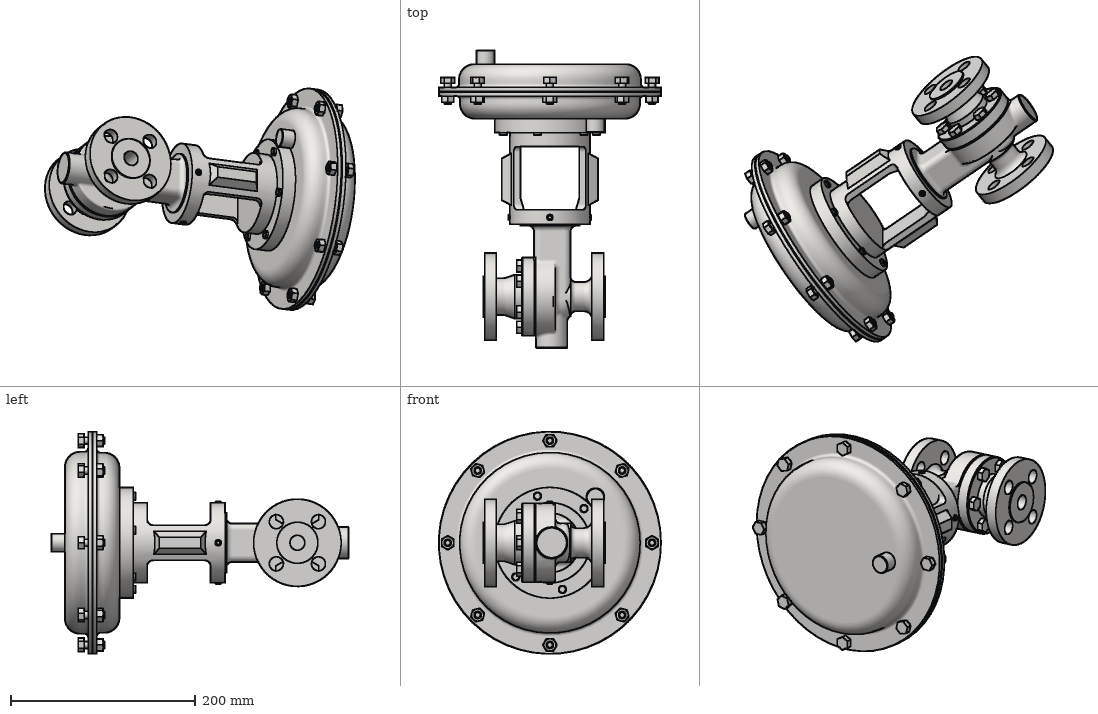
import cadquery as cq
import math


MARGIN = 0.3

STEM_AXIS = (0, 1, 0)
FLOW_AXIS = (1, 0, 0)

STUB_END_Y = -56.0
NECK_TOP_Y = 76.8
YOKE_BOTTOM_Y = 78.5
WINDOW_BOTTOM_Y = 94.3
WINDOW_TOP_Y = 162.7
BASE_BOTTOM_Y = 178.0
CASE_BOTTOM_Y = 192.7
RIM_BOTTOM_Y = 217.3
RIM_TOP_Y = 227.0
CASE_TOP_Y = 252.0
PORT_TOP_Y = 267.0

RIM_DIAMETER = 241.0
RIM_RADIUS = RIM_DIAMETER / 2
RIM_GROOVE_WIDTH = 1.0
RIM_GROOVE_DEPTH = 0.5
UPPER_CASE_RADIUS = 98.8
LOWER_CASE_RADIUS = 97.8
CASE_CORNER = 16.8
CASE_FILLET = 3.5
PORT_DIAMETER = 19.7
PORT_RADIUS = PORT_DIAMETER / 2
PORT_CIRCLE = 69.7
LOWER_PORT_ANGLE = 45
PORT_CHAMFER = 0.5

CASE_BOLTS = 8
CASE_BOLT_CIRCLE = 110.7
HEX_FLATS = 13.2
HEX_SIDES = 6
HEX_HALF_ANGLE = 180 / HEX_SIDES
HEX_CORNERS = HEX_FLATS / math.cos(math.radians(HEX_HALF_ANGLE))
SHANK_RADIUS = 4.0
HEAD_BOTTOM_Y = 231.0
HEAD_TOP_Y = 237.5
NUT_END_Y = 210.5
SHANK_END_Y = 208.5
SHANK_CHAMFER = 1.0
NUT_TRIM_ANGLE = 60

BASE_RADIUS = 60.0
BASE_SCREWS = 6
BASE_SCREW_CIRCLE = 52.3
BASE_SCREW_START_ANGLE = 15
BASE_SCREW_RADIUS = 4.2
BASE_SCREW_HEIGHT = 3.0
BASE_SCREW_CHAMFER = 0.5

YOKE_RADIUS = 43.5
ARM_WIDTH = 38.5
ARM_HALF_WIDTH = ARM_WIDTH / 2
ARM_INNER_X = 31.5
WINDOW_FILLET = 6.0
WINDOW_TAPER_WIDTH = 3.5
WINDOW_TAPER_HEIGHT = 12.3
PAD_ROOT_X = 41.0
PAD_FACE_X = 52.3
PAD_MIDDLE_Y = 127.2
PAD_ROOT_SIZE = (57.5, 25.8)
PAD_FACE_SIZE = (45.2, 12.0)
SET_SCREWS = 4
SET_SCREW_Y = 86.0
SET_SCREW_RADIUS = 3.2
SET_SCREW_REACH = 45.0
SET_SCREW_CHAMFER = 1.0
SOCKET_CORNERS = 4.2
SOCKET_DEPTH = 2.5

NECK_MIN_X = -17.5
NECK_MAX_X = 22.5
NECK_MIDDLE_X = (NECK_MIN_X + NECK_MAX_X) / 2
NECK_HALF_DEPTH = 21.0
NECK_END_CENTER_Y = -4.0
NECK_ROUND = 7.0
NECK_FLARE = 5.8
NECK_COLLAR_RADIUS = 32.3
STUB_X = 2.0
STUB_RADIUS = 17.0
STUB_CHAMFER = 1.0
BODY_RADIUS = 42.5
BODY_MIN_X = -16.8
BODY_MAX_X = 5.8
BODY_ROUND = 2.0
NECK_BLEND = 5.8
STUB_BLEND = 4.0
STUB_JOINT_TOP_Y = -8.0
COVER_MIN_X = -30.5
COVER_CHAMFER = 1.0
COVER_GAP = 1.3
COVER_GAP_DEPTH = 1.0
COVER_BOLTS = 6
COVER_BOLT_CIRCLE = 33.3
COVER_HEAD_HEIGHT = 5.8

FLANGE_RADIUS = 47.5
FACE_RADIUS = 22.3
FACE_HEIGHT = 1.5
INLET_OUTER_X = -70.7
INLET_INNER_X = -58.0
OUTLET_INNER_X = 45.2
OUTLET_OUTER_X = 58.5
INLET_PIPE_DIAMETER = 40.5
INLET_PIPE_RADIUS = INLET_PIPE_DIAMETER / 2
INLET_HUB_RADIUS = 24.0
INLET_BEND_X = -48.7
INLET_BEND_LENGTH = 1.78
INLET_HUB_X = -38.0
OUTLET_PIPE_DIAMETER = 32.0
OUTLET_PIPE_RADIUS = OUTLET_PIPE_DIAMETER / 2
OUTLET_ROOT_RADIUS = 21.3
OUTLET_FLARE = 8.5
OUTLET_BLEND = 5.2
BORE_RADIUS = 8.0
BORE_END_X = 16
FLANGE_HOLES = 4
FLANGE_HOLE_CIRCLE = 32.3
FLANGE_HOLE_START_ANGLE = 45
FLANGE_HOLE_DIAMETER = 15.2
FLANGE_HOLE_RADIUS = FLANGE_HOLE_DIAMETER / 2


def plane_y(x, y, z):
    """Plane facing +Y, with its local x along X."""
    return cq.Workplane(cq.Plane((x, y, z), (1, 0, 0), (0, 1, 0)))


def plane_x(x, y, z):
    """Plane facing +X, with its local x along Y."""
    return cq.Workplane(cq.Plane((x, y, z), (0, 1, 0), (1, 0, 0)))


def rod_y(radius, start, end, x=0, z=0):
    return plane_y(x, start, z).circle(radius).extrude(end - start)


def rod_x(radius, start, end, y=0, z=0):
    return plane_x(start, y, z).circle(radius).extrude(end - start)


def ring_of(solid, count, start_angle, axis):
    """Copies of a solid spread evenly around an axis through the origin."""
    copies = solid.rotate((0, 0, 0), axis, start_angle)
    for i in range(1, count):
        copies = copies.add(solid.rotate((0, 0, 0), axis, start_angle + i * 360 / count))
    return copies.combine()


def diaphragm_case():
    """Two dished shells, revolved as one outline about the stem."""
    outline = (
        cq.Workplane("XY")
        .moveTo(0, CASE_BOTTOM_Y)
        .lineTo(LOWER_CASE_RADIUS - CASE_CORNER, CASE_BOTTOM_Y)
        .radiusArc((LOWER_CASE_RADIUS, CASE_BOTTOM_Y + CASE_CORNER), -CASE_CORNER)
        .lineTo(LOWER_CASE_RADIUS, RIM_BOTTOM_Y - CASE_FILLET)
        .radiusArc((LOWER_CASE_RADIUS + CASE_FILLET, RIM_BOTTOM_Y), CASE_FILLET)
        .lineTo(RIM_RADIUS, RIM_BOTTOM_Y)
        .lineTo(RIM_RADIUS, RIM_TOP_Y)
        .lineTo(UPPER_CASE_RADIUS + CASE_FILLET, RIM_TOP_Y)
        .radiusArc((UPPER_CASE_RADIUS, RIM_TOP_Y + CASE_FILLET), CASE_FILLET)
        .lineTo(UPPER_CASE_RADIUS, CASE_TOP_Y - CASE_CORNER)
        .radiusArc((UPPER_CASE_RADIUS - CASE_CORNER, CASE_TOP_Y), -CASE_CORNER)
        .lineTo(0, CASE_TOP_Y)
        .close()
    )
    case = outline.revolve(360, (0, 0, 0), STEM_AXIS)

    groove_bottom = (RIM_BOTTOM_Y + RIM_TOP_Y - RIM_GROOVE_WIDTH) / 2
    groove = (
        plane_y(0, groove_bottom, 0)
        .circle(2 * RIM_RADIUS)
        .circle(RIM_RADIUS - RIM_GROOVE_DEPTH)
        .extrude(RIM_GROOVE_WIDTH)
    )
    return case.cut(groove)


def case_ports():
    """Air connections: one on the upper shell, one on the lower shell."""
    middle = (RIM_BOTTOM_Y + RIM_TOP_Y) / 2
    lower_x = PORT_CIRCLE * math.cos(math.radians(LOWER_PORT_ANGLE))
    lower_z = PORT_CIRCLE * math.sin(math.radians(LOWER_PORT_ANGLE))
    upper = rod_y(PORT_RADIUS, middle, PORT_TOP_Y, x=-PORT_CIRCLE)
    upper = upper.faces(">Y").chamfer(PORT_CHAMFER)
    lower = rod_y(PORT_RADIUS, BASE_BOTTOM_Y, middle, x=lower_x, z=lower_z)
    lower = lower.faces("<Y").chamfer(PORT_CHAMFER)
    return upper.union(lower)


def case_bolts():
    """Bolts through the rim: heads point a corner outward, nuts point a flat outward."""
    shank = rod_y(SHANK_RADIUS, SHANK_END_Y, HEAD_BOTTOM_Y, x=CASE_BOLT_CIRCLE)
    shank = shank.faces("<Y").chamfer(SHANK_CHAMFER)
    head = (
        plane_y(CASE_BOLT_CIRCLE, HEAD_BOTTOM_Y, 0)
        .polygon(HEX_SIDES, HEX_CORNERS)
        .extrude(HEAD_TOP_Y - HEAD_BOTTOM_Y)
    )
    nut_height = RIM_BOTTOM_Y - NUT_END_Y
    nut = (
        plane_y(CASE_BOLT_CIRCLE, NUT_END_Y, 0)
        .transformed(rotate=(0, 0, HEX_HALF_ANGLE))
        .polygon(HEX_SIDES, HEX_CORNERS)
        .extrude(nut_height)
    )
    cone = (
        plane_y(CASE_BOLT_CIRCLE, NUT_END_Y, 0)
        .circle(HEX_FLATS / 2)
        .extrude(nut_height, taper=-NUT_TRIM_ANGLE)
    )
    bolt = shank.union(head).union(nut.intersect(cone))
    return ring_of(bolt, CASE_BOLTS, 0, STEM_AXIS)


def actuator_base():
    """Round base under the case with a circle of screw tips."""
    base = rod_y(BASE_RADIUS, BASE_BOTTOM_Y, CASE_BOTTOM_Y)
    tip_y = BASE_BOTTOM_Y - BASE_SCREW_HEIGHT
    screw = rod_y(BASE_SCREW_RADIUS, tip_y, CASE_BOTTOM_Y, x=BASE_SCREW_CIRCLE)
    screw = screw.faces("<Y").chamfer(BASE_SCREW_CHAMFER)
    return base.union(ring_of(screw, BASE_SCREWS, BASE_SCREW_START_ANGLE, STEM_AXIS))


def yoke():
    """Round yoke opened into two arms, each with a tapered pad on its outside."""
    body = rod_y(YOKE_RADIUS, YOKE_BOTTOM_Y, BASE_BOTTOM_Y)
    window_height = WINDOW_TOP_Y - WINDOW_BOTTOM_Y
    window_middle = (WINDOW_TOP_Y + WINDOW_BOTTOM_Y) / 2
    span = 2 * YOKE_RADIUS

    for side in (-1, 1):
        relief = (
            cq.Workplane("XY")
            .box(2 * span, window_height, span)
            .edges("|X and " + ("<Z" if side > 0 else ">Z"))
            .fillet(WINDOW_FILLET)
            .translate((0, window_middle, side * (ARM_HALF_WIDTH + span / 2)))
        )
        body = body.cut(relief)

    bottom_half = ARM_INNER_X - WINDOW_TAPER_WIDTH
    opening = (
        cq.Workplane("XY")
        .polyline(
            [
                (-bottom_half, WINDOW_BOTTOM_Y),
                (bottom_half, WINDOW_BOTTOM_Y),
                (ARM_INNER_X, WINDOW_BOTTOM_Y + WINDOW_TAPER_HEIGHT),
                (ARM_INNER_X, WINDOW_TOP_Y),
                (-ARM_INNER_X, WINDOW_TOP_Y),
                (-ARM_INNER_X, WINDOW_BOTTOM_Y + WINDOW_TAPER_HEIGHT),
            ]
        )
        .close()
        .extrude(YOKE_RADIUS, both=True)
    )
    body = body.cut(opening)

    pad = (
        plane_x(PAD_ROOT_X, PAD_MIDDLE_Y, 0)
        .rect(*PAD_ROOT_SIZE)
        .workplane(offset=PAD_FACE_X - PAD_ROOT_X)
        .rect(*PAD_FACE_SIZE)
        .loft(ruled=True)
    )
    return body.union(pad).union(pad.mirror("YZ"))


def set_screws():
    """Socket screws around the lower ring of the yoke, and the sockets to cut from them."""
    screw = rod_x(SET_SCREW_RADIUS, YOKE_RADIUS / 2, SET_SCREW_REACH, y=SET_SCREW_Y)
    screw = screw.faces(">X").chamfer(SET_SCREW_CHAMFER)
    socket = (
        plane_x(SET_SCREW_REACH - SOCKET_DEPTH, SET_SCREW_Y, 0)
        .polygon(HEX_SIDES, SOCKET_CORNERS)
        .extrude(SOCKET_DEPTH)
    )
    return ring_of(screw, SET_SCREWS, 0, STEM_AXIS), ring_of(socket, SET_SCREWS, 0, STEM_AXIS)


def neck_collar():
    """Flared top of the neck, trimmed to a round collar."""
    width = NECK_MAX_X - NECK_MIN_X
    plate = (
        plane_y(0, NECK_TOP_Y, 0)
        .rect(4 * NECK_COLLAR_RADIUS, 4 * NECK_COLLAR_RADIUS)
        .extrude(YOKE_BOTTOM_Y - NECK_TOP_Y)
    )
    flare = (
        plane_y(NECK_MIDDLE_X, NECK_TOP_Y - 2 * NECK_FLARE, 0)
        .rect(width, 2 * NECK_HALF_DEPTH)
        .extrude(2 * NECK_FLARE)
        .edges("|Y")
        .fillet(NECK_ROUND)
    )
    joint = cq.selectors.BoxSelector(
        (-NECK_COLLAR_RADIUS, NECK_TOP_Y - MARGIN, -NECK_COLLAR_RADIUS),
        (NECK_COLLAR_RADIUS, NECK_TOP_Y + MARGIN, NECK_COLLAR_RADIUS),
    )
    flared = plate.union(flare).edges(joint).fillet(NECK_FLARE)
    return flared.intersect(rod_y(NECK_COLLAR_RADIUS, 0, YOKE_BOTTOM_Y))


def valve_body():
    """Rounded neck, round body and lower stub, blended together."""
    neck = (
        plane_x(NECK_MIN_X, 0, 0)
        .moveTo(NECK_TOP_Y, -NECK_HALF_DEPTH)
        .lineTo(NECK_TOP_Y, NECK_HALF_DEPTH)
        .lineTo(NECK_END_CENTER_Y, NECK_HALF_DEPTH)
        .threePointArc(
            (NECK_END_CENTER_Y - NECK_HALF_DEPTH, 0),
            (NECK_END_CENTER_Y, -NECK_HALF_DEPTH),
        )
        .close()
        .extrude(NECK_MAX_X - NECK_MIN_X)
    )
    neck = neck.edges("(<X or >X) and (not >Y)").fillet(NECK_ROUND)
    drum = rod_x(BODY_RADIUS, COVER_MIN_X, BODY_MAX_X)
    drum = drum.faces(">X").edges().fillet(BODY_ROUND)
    neck_joint = cq.selectors.BoxSelector(
        (COVER_MIN_X + MARGIN, NECK_END_CENTER_Y - NECK_HALF_DEPTH, -NECK_HALF_DEPTH - MARGIN),
        (BODY_MAX_X + MARGIN, BODY_RADIUS, NECK_HALF_DEPTH + MARGIN),
        boundingbox=True,
    )
    body = neck.union(drum).edges(neck_joint).fillet(NECK_BLEND)

    stub = rod_y(STUB_RADIUS, STUB_END_Y, 0, x=STUB_X)
    stub = stub.faces("<Y").chamfer(STUB_CHAMFER)
    stub_joint = cq.selectors.BoxSelector(
        (STUB_X - STUB_RADIUS - MARGIN, -BODY_RADIUS - MARGIN, -STUB_RADIUS - MARGIN),
        (STUB_X + STUB_RADIUS + MARGIN, STUB_JOINT_TOP_Y, STUB_RADIUS + MARGIN),
        boundingbox=True,
    )
    body = body.union(stub).edges(stub_joint).fillet(STUB_BLEND)

    cover_side = rod_x(2 * BODY_RADIUS, 2 * COVER_MIN_X, BODY_MIN_X)
    gap = (
        plane_x(BODY_MIN_X, 0, 0)
        .circle(2 * BODY_RADIUS)
        .circle(BODY_RADIUS - COVER_GAP_DEPTH)
        .extrude(COVER_GAP)
    )
    cover = rod_x(BODY_RADIUS, COVER_MIN_X, BODY_MIN_X)
    cover = cover.faces("<X").chamfer(COVER_CHAMFER)
    return body.cut(cover_side).cut(gap).union(neck).union(cover)


def cover_bolts():
    """Hexagon heads around the inlet pipe, a flat facing outward."""
    head = (
        cq.Workplane(cq.Plane((COVER_MIN_X, COVER_BOLT_CIRCLE, 0), (0, 0, 1), (-1, 0, 0)))
        .polygon(HEX_SIDES, HEX_CORNERS)
        .extrude(COVER_HEAD_HEIGHT)
    )
    return ring_of(head, COVER_BOLTS, 0, FLOW_AXIS)


def flange(inner_x, outer_x):
    """Flange with a raised face on its outer side."""
    outward = math.copysign(1, outer_x)
    return rod_x(FLANGE_RADIUS, inner_x, outer_x).union(
        rod_x(FACE_RADIUS, outer_x, outer_x + outward * FACE_HEIGHT)
    )


def inlet_pipe():
    """Pipe bending into a cone that widens to the hub at the cover."""
    slope = math.atan2(INLET_HUB_RADIUS - INLET_PIPE_RADIUS, INLET_HUB_X - INLET_BEND_X)
    bend_end = (
        INLET_BEND_X + INLET_BEND_LENGTH * math.cos(slope),
        INLET_PIPE_RADIUS + INLET_BEND_LENGTH * math.sin(slope),
    )
    outline = (
        cq.Workplane("XY")
        .moveTo(INLET_INNER_X, 0)
        .lineTo(INLET_INNER_X, INLET_PIPE_RADIUS)
        .lineTo(INLET_BEND_X - INLET_BEND_LENGTH, INLET_PIPE_RADIUS)
        .tangentArcPoint(bend_end, relative=False)
        .lineTo(INLET_HUB_X, INLET_HUB_RADIUS)
        .lineTo(COVER_MIN_X, INLET_HUB_RADIUS)
        .lineTo(COVER_MIN_X, 0)
        .close()
    )
    return outline.revolve(360, (0, 0, 0), FLOW_AXIS)


def outlet_pipe():
    """Pipe flared toward the flange and blended into the neck."""
    rise = OUTLET_ROOT_RADIUS - OUTLET_PIPE_RADIUS
    flare_radius = (OUTLET_FLARE**2 + rise**2) / (2 * rise)
    outline = (
        cq.Workplane("XY")
        .moveTo(0, 0)
        .lineTo(0, OUTLET_PIPE_RADIUS + OUTLET_BLEND)
        .lineTo(NECK_MAX_X, OUTLET_PIPE_RADIUS + OUTLET_BLEND)
        .radiusArc((NECK_MAX_X + OUTLET_BLEND, OUTLET_PIPE_RADIUS), -OUTLET_BLEND)
        .lineTo(OUTLET_INNER_X - OUTLET_FLARE, OUTLET_PIPE_RADIUS)
        .radiusArc((OUTLET_INNER_X, OUTLET_ROOT_RADIUS), -flare_radius)
        .lineTo(OUTLET_INNER_X, 0)
        .close()
    )
    return outline.revolve(360, (0, 0, 0), FLOW_AXIS)


def flow_holes():
    """Blind bores from both raised faces, and the flange bolt holes."""
    inlet_bore = rod_x(BORE_RADIUS, INLET_OUTER_X - FACE_HEIGHT, -BORE_END_X)
    outlet_bore = rod_x(BORE_RADIUS, BORE_END_X, OUTLET_OUTER_X + FACE_HEIGHT)
    inlet_hole = rod_x(FLANGE_HOLE_RADIUS, INLET_OUTER_X, INLET_INNER_X, y=FLANGE_HOLE_CIRCLE)
    outlet_hole = rod_x(FLANGE_HOLE_RADIUS, OUTLET_INNER_X, OUTLET_OUTER_X, y=FLANGE_HOLE_CIRCLE)
    bolt_holes = [
        ring_of(one_hole, FLANGE_HOLES, FLANGE_HOLE_START_ANGLE, FLOW_AXIS)
        for one_hole in (inlet_hole, outlet_hole)
    ]
    return [inlet_bore, outlet_bore] + bolt_holes


screws, sockets = set_screws()

result = diaphragm_case()
result = result.union(case_ports()).union(case_bolts())
result = result.union(actuator_base()).union(yoke())
result = result.union(screws).cut(sockets)
result = result.union(neck_collar())
result = result.union(valve_body()).union(cover_bolts())
result = result.union(inlet_pipe()).union(outlet_pipe())
result = result.union(flange(INLET_INNER_X, INLET_OUTER_X))
result = result.union(flange(OUTLET_INNER_X, OUTLET_OUTER_X))
for hole in flow_holes():
    result = result.cut(hole)